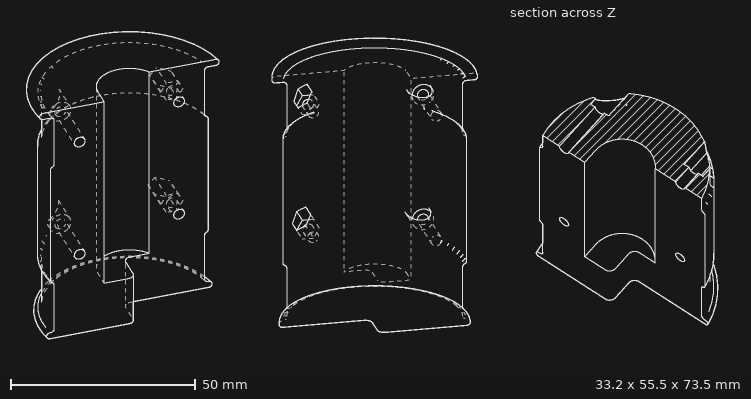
import cadquery as cq
import math

height = 73.5
groove_height = 18.0
flange_thickness = 2.0

top_flange_radius = 28.0
bottom_flange_radius = 26.0
groove_radius = 23.9
band_radius = 25.0
rounding = flange_thickness / 2

joint_offset = 5.0
joint_fillet = 2.0

bore_radius = 9.0
bore_depth = 58.8

screw_y = 16.0
screw_heights = (25.6, 61.95)
screw_diameter = 3.1
head_diameter = 6.0
head_edge_round = 0.5
nut_across_flats = 5.5
seat_x = -11.0

reach = 2 * height


def turned_body():
    """Spool of revolution with round rims, filleted roots and a raised band."""
    band_rise = band_radius - groove_radius
    step_half_height = math.sqrt(rounding * band_rise - band_rise**2 / 4)
    step_radius = (groove_radius + band_radius) / 2
    lower_step = groove_height
    upper_step = height - groove_height
    flange_underside = height - flange_thickness

    profile = (
        cq.Workplane("XZ")
        .lineTo(bottom_flange_radius - rounding, 0)
        .tangentArcPoint((bottom_flange_radius - rounding, flange_thickness), relative=False)
        .lineTo(groove_radius + rounding, flange_thickness)
        .tangentArcPoint((groove_radius, flange_thickness + rounding), relative=False)
        .lineTo(groove_radius, lower_step - step_half_height)
        .tangentArcPoint((step_radius, lower_step), relative=False)
        .tangentArcPoint((band_radius, lower_step + step_half_height), relative=False)
        .lineTo(band_radius, upper_step - step_half_height)
        .tangentArcPoint((step_radius, upper_step), relative=False)
        .tangentArcPoint((groove_radius, upper_step + step_half_height), relative=False)
        .lineTo(groove_radius, flange_underside - rounding)
        .tangentArcPoint((groove_radius + rounding, flange_underside), relative=False)
        .lineTo(top_flange_radius - rounding, flange_underside)
        .tangentArcPoint((top_flange_radius - rounding, height), relative=False)
        .lineTo(0, height)
        .close()
    )
    return profile.revolve(360, (0, 0, 0), (0, 1, 0))


def half_envelope():
    """Prism that keeps one half, bounded by the stepped parting face."""
    return (
        cq.Workplane("XY")
        .moveTo(-reach, -reach)
        .lineTo(joint_offset, -reach)
        .lineTo(joint_offset, 0)
        .lineTo(-joint_offset, 0)
        .lineTo(-joint_offset, reach)
        .lineTo(-reach, reach)
        .close()
        .extrude(height)
        .edges(cq.selectors.BoxSelector((-reach / 2, -reach / 2, 0), (reach / 2, reach / 2, height)))
        .edges("|Z")
        .fillet(joint_fillet)
    )


def bore():
    """U-shaped blind bore: a half round that runs straight out to the parting face."""
    return (
        cq.Workplane("XY", origin=(0, 0, height - bore_depth))
        .moveTo(0, bore_radius)
        .threePointArc((-bore_radius, 0), (0, -bore_radius))
        .lineTo(joint_offset, -bore_radius)
        .lineTo(joint_offset, bore_radius)
        .close()
        .extrude(bore_depth)
    )


def facing_outwards(y, z, x):
    """Workplane whose normal is -X, so that extrusions run out of the curved side."""
    return cq.Workplane("YZ", origin=(x, y, z)).transformed(rotate=(0, 180, 0))


def cut_screw_head(body, z):
    """Round recess for a screw head, with a rounded mouth."""
    recess = facing_outwards(-screw_y, z, seat_x).circle(head_diameter / 2).extrude(reach)
    mouth = cq.selectors.BoxSelector(
        (-top_flange_radius, -screw_y - head_diameter, z - head_diameter),
        (seat_x - 0.7, -screw_y + head_diameter, z + head_diameter),
    )
    return body.cut(recess).edges(mouth).edges("not %LINE").fillet(head_edge_round)


def cut_nut(body, z):
    """Hexagonal recess for a nut, with two flats parallel to the end faces."""
    across_corners = nut_across_flats / math.cos(math.pi / 6)
    recess = facing_outwards(screw_y, z, seat_x).polygon(6, across_corners).extrude(reach)
    return body.cut(recess)


def cut_screw_holes(body, z):
    """Through holes for the pair of screws at one height."""
    for y in (-screw_y, screw_y):
        hole = facing_outwards(y, z, joint_offset).circle(screw_diameter / 2).extrude(reach)
        body = body.cut(hole)
    return body


result = turned_body().cut(bore()).intersect(half_envelope())
for screw_z in screw_heights:
    result = cut_screw_head(result, screw_z)
    result = cut_nut(result, screw_z)
    result = cut_screw_holes(result, screw_z)